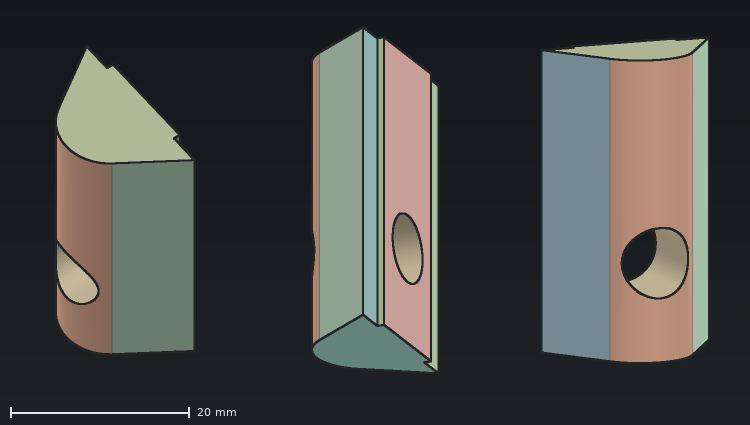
import cadquery as cq
import math

length = 34.5
width = 20.3
depth = 11.2
nose_radius = 6.0
tab_width = 12.55
tab_height = 0.83
hole_diameter = 8.0
hole_height = 11.3

half_width = width / 2
half_tab = tab_width / 2
shoulder_y = depth - tab_height
corner_rise = shoulder_y - nose_radius
corner_distance = math.hypot(half_width, corner_rise)
tangent_angle = math.atan2(corner_rise, half_width) - math.acos(nose_radius / corner_distance)
tangent_x = nose_radius * math.cos(tangent_angle)
tangent_y = nose_radius * (1 + math.sin(tangent_angle))


def make_body():
    """Wedge with a rounded nose and a raised flat tab along its back."""
    return (
        cq.Workplane("XY")
        .moveTo(-half_width, shoulder_y)
        .lineTo(-tangent_x, tangent_y)
        .threePointArc((0, 0), (tangent_x, tangent_y))
        .lineTo(half_width, shoulder_y)
        .lineTo(half_tab, shoulder_y)
        .lineTo(half_tab, depth)
        .lineTo(-half_tab, depth)
        .lineTo(-half_tab, shoulder_y)
        .close()
        .extrude(length)
    )


def make_cross_hole():
    """Round hole from the nose through to the back."""
    return (
        cq.Workplane("XZ")
        .center(0, hole_height)
        .circle(hole_diameter / 2)
        .extrude(-depth)
    )


result = make_body().cut(make_cross_hole())